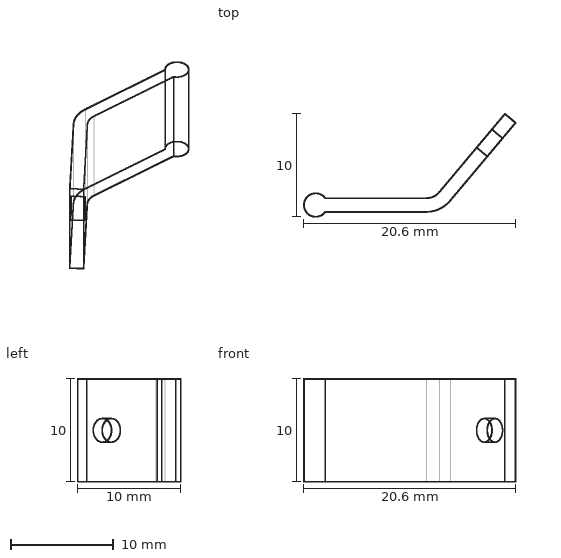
import cadquery as cq
import math

height = 10.0
thickness = 1.35
overall_length = 20.57
bead_diameter = 2.3
bend_angle = 50.0
outer_bend_radius = 3.0
bent_leg_length = 9.91
hole_diameter = 2.3
hole_edge_distance = 3.13

angle = math.radians(bend_angle)
along = cq.Vector(math.cos(angle), math.sin(angle), 0)
across = cq.Vector(-math.sin(angle), math.cos(angle), 0)

bend_start_x = (overall_length - bead_diameter / 2
                - bent_leg_length * along.x - outer_bend_radius * math.sin(angle))
inner_bend_radius = outer_bend_radius - thickness
bend_center = cq.Vector(bend_start_x, outer_bend_radius - thickness / 2, 0)


def bend_point(radius, turn):
    """Point on the bend at a radius, after turning from the flat leg."""
    return bend_center + cq.Vector(math.sin(turn), -math.cos(turn), 0) * radius


outer_bend_end = bend_point(outer_bend_radius, angle)
outer_tip = outer_bend_end + along * bent_leg_length
inner_tip = outer_tip + across * thickness

sheet = (
    cq.Workplane("XY")
    .moveTo(0, -thickness / 2)
    .lineTo(bend_start_x, -thickness / 2)
    .threePointArc(bend_point(outer_bend_radius, angle / 2), outer_bend_end)
    .lineTo(outer_tip.x, outer_tip.y)
    .lineTo(inner_tip.x, inner_tip.y)
    .lineTo(*bend_point(inner_bend_radius, angle).toTuple()[:2])
    .threePointArc(bend_point(inner_bend_radius, angle / 2), bend_point(inner_bend_radius, 0))
    .lineTo(0, thickness / 2)
    .close()
    .extrude(height)
)

bead = cq.Workplane("XY").circle(bead_diameter / 2).extrude(height)

hole_start = outer_tip - along * hole_edge_distance - across * thickness + cq.Vector(0, 0, height / 2)
hole = cq.Solid.makeCylinder(hole_diameter / 2, 3 * thickness, hole_start, across)

result = sheet.union(bead).cut(cq.Workplane(obj=hole))